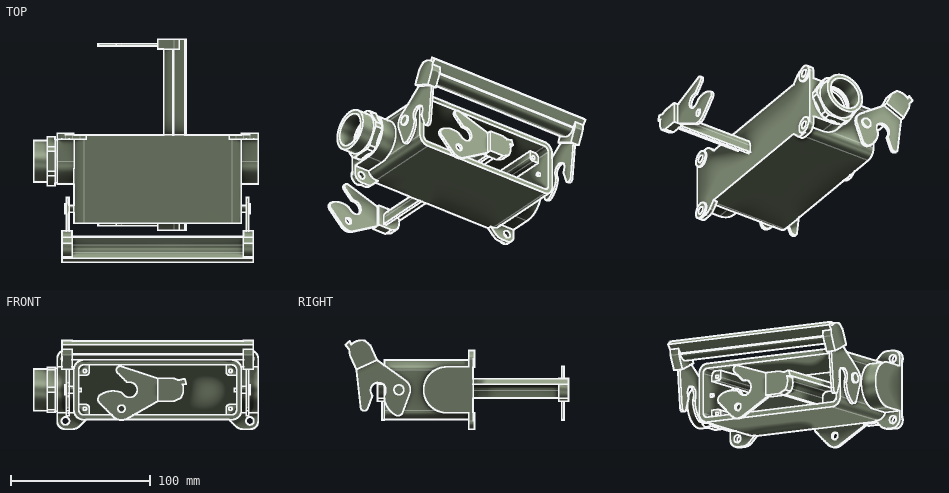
import cadquery as cq
import math


housing_width = 119.7
housing_height = 42.7
housing_depth = 63.2
corner_radius = 6.9
wall = 3.5
back_wall = 3.5

post_size = 7.4
post_corner_radius = 2.4
post_front_depth = 51.7
post_hole_diameter = 2.4
post_hole_depth = 8.0
post_hole_x = 52.0
post_hole_z = 13.5

boss_end_x = 71.9
boss_radius = 16.4
boss_axis_depth = 19.0
cable_hole_diameter = 21.8

ear_thickness = 3.2
ear_hole_diameter = 5.5
ear_pad_diameter = 12.0
ear_pad_height = 1.1
ear_fillet = 7.9
ear_top_z = 28.2
ear_slope_end_x = 51.0

lever_half_span = 68.4
plate_middle = 64.2
plate_thickness = 2.0
grip_block_width = 7.2
grip_half_height = 8.2
pivot_u = -25.8
pivot_v = -13.5
pivot_hole_diameter = 5.1

pin_depth = 53.0
pin_diameter = 5.0
pin_head_diameter = 7.0
pin_head_thickness = 1.1
pin_tail_diameter = 2.4
pin_tail_length = 1.8

closed_lever_angle = 65.5

gland_end_x = 88.6
pipe_diameter = 30.0
nut_outer_x = 79.0
nut_inner_x = 73.3
nut_across_flats = 32.1
nut_corner_diameter = 35.1
neck_diameter = 31.0
gland_bore_steps = ((24.2, 12.8), (23.5, 14.5), (21.8, gland_end_x - boss_end_x))

half_width = housing_width / 2
half_height = housing_height / 2
cavity_half_width = half_width - wall
cavity_half_height = half_height - wall
SIDES = (-1, 1)


def block(x_range, y_range, z_range):
    """Box between the given limits."""
    size = [high - low for low, high in (x_range, y_range, z_range)]
    return cq.Workplane("XY").box(*size, centered=False).translate((x_range[0], y_range[0], z_range[0]))


def x_cylinder(diameter, x_start, x_end, depth):
    """Cylinder along X whose axis lies at the given depth from the back face, at mid height."""
    low, high = sorted((x_start, x_end))
    plane = cq.Plane(origin=(low, -depth, 0), xDir=(0, 1, 0), normal=(1, 0, 0))
    return cq.Workplane(plane).circle(diameter / 2).extrude(high - low)


def y_cylinder(diameter, x, z, y_front, y_back):
    """Cylinder along Y between two Y positions."""
    plane = cq.Plane(origin=(x, y_back, z), xDir=(1, 0, 0), normal=(0, -1, 0))
    return cq.Workplane(plane).circle(diameter / 2).extrude(y_back - y_front)


def lever_plate_outline(work):
    """Hooked side plate: a pivot corner, a short jaw, a round slot and a long jaw."""
    pivot_radius = grip_half_height
    diagonal = math.sqrt(0.5)

    reach_u = -pivot_u
    reach_v = -grip_half_height - pivot_v
    reach = math.hypot(reach_u, reach_v)
    tangent_angle = math.atan2(reach_v, reach_u) - math.acos(pivot_radius / reach)
    corner_start = (
        pivot_u + pivot_radius * math.cos(tangent_angle),
        pivot_v + pivot_radius * math.sin(tangent_angle),
    )
    corner_end = (pivot_u - pivot_radius * diagonal, pivot_v - pivot_radius * diagonal)

    short_tip_u = -42.2
    short_tip_start = (short_tip_u, corner_end[1] + corner_end[0] - short_tip_u)
    short_tip_middle = (-42.7, -6.5)
    short_tip_end = (-41.5, -4.0)
    jaw_arc_middle = (-32.5, -0.8)
    jaw_arc_end = (-25.8, -2.0)

    slot_u = -20.0
    slot_radius = 5.5
    slot_start = (slot_u - slot_radius * diagonal, -slot_radius * diagonal)

    long_tip_u = -26.8
    long_tip_v = 14.1
    long_tip_radius = 2.7
    long_tip_start = (long_tip_u - long_tip_radius * diagonal, long_tip_v - long_tip_radius * diagonal)
    slot_mouth_u = long_tip_start[0] + long_tip_start[1] - slot_radius
    drop = grip_half_height - long_tip_v
    upper_reach = math.hypot(long_tip_u, drop)
    upper_angle = math.atan2(drop, -long_tip_u) + math.acos(long_tip_radius / upper_reach)
    long_tip_end = (
        long_tip_u + long_tip_radius * math.cos(upper_angle),
        long_tip_v + long_tip_radius * math.sin(upper_angle),
    )
    long_tip_middle = (long_tip_u - long_tip_radius * diagonal, long_tip_v + long_tip_radius * diagonal)

    return (
        work.moveTo(0, -grip_half_height)
        .lineTo(*corner_start)
        .threePointArc((pivot_u, pivot_v - pivot_radius), corner_end)
        .lineTo(*short_tip_start)
        .threePointArc(short_tip_middle, short_tip_end)
        .threePointArc(jaw_arc_middle, jaw_arc_end)
        .lineTo(*slot_start)
        .threePointArc((slot_u + slot_radius, 0), (slot_u, slot_radius))
        .lineTo(slot_mouth_u, slot_radius)
        .lineTo(*long_tip_start)
        .threePointArc(long_tip_middle, long_tip_end)
        .lineTo(0, grip_half_height)
        .close()
    )


def grip_block_outline(work):
    """End of the grip: square at the plate, with sloped shoulders and a bulged far end."""
    shoulder_u = 11.4
    lower_shoulder_end = (16.4, -6.0)
    far_end_middle = (18.3, -1.3)
    far_end_top = (17.8, 4.0)
    upper_shoulder_end = (15.4, 6.9)
    return (
        work.moveTo(0, -grip_half_height)
        .lineTo(shoulder_u, -grip_half_height)
        .lineTo(*lower_shoulder_end)
        .threePointArc(far_end_middle, far_end_top)
        .lineTo(*upper_shoulder_end)
        .lineTo(shoulder_u, grip_half_height)
        .lineTo(0, grip_half_height)
        .close()
    )


def grip_bar_outline(work):
    """Bent grip bar: a short leg, a quarter bend and a flange thickening to its slanted edge."""
    bend_u = 10.8
    bend_v = -0.2
    outer_radius = 6.5
    inner_radius = 4.2
    leg_end_v = -6.0
    flange_tip_u = 20.5
    flange_top_tip = (19.3, 8.0)
    flange_top_start = (11.4, 6.0)
    diagonal = math.sqrt(0.5)
    flange_v = bend_v + inner_radius
    bend_top_v = bend_v + outer_radius
    return (
        work.moveTo(bend_u - outer_radius, leg_end_v)
        .lineTo(bend_u - inner_radius, leg_end_v)
        .lineTo(bend_u - inner_radius, bend_v)
        .threePointArc(
            (bend_u - inner_radius * diagonal, bend_v + inner_radius * diagonal),
            (bend_u, flange_v),
        )
        .lineTo(flange_tip_u, flange_v)
        .lineTo(*flange_top_tip)
        .lineTo(*flange_top_start)
        .lineTo(bend_u, bend_top_v)
        .threePointArc(
            (bend_u - outer_radius * diagonal, bend_v + outer_radius * diagonal),
            (bend_u - outer_radius, bend_v),
        )
        .close()
    )


def lever_slice(plane, outline, middle, width):
    """One outline extruded to the given width about a middle position along the lever's length."""
    return outline(cq.Workplane(plane).workplane(offset=middle - width / 2)).extrude(width)


def build_lever(plane):
    """Lever lying in the given plane, its length along the plane's normal."""
    lever = lever_slice(plane, grip_bar_outline, 0, 2 * lever_half_span)
    for side in SIDES:
        block_middle = side * (lever_half_span - grip_block_width / 2)
        lever = lever.union(lever_slice(plane, grip_block_outline, block_middle, grip_block_width))
        lever = lever.union(lever_slice(plane, lever_plate_outline, side * plate_middle, plate_thickness))
    pivot_hole = (
        cq.Workplane(plane).center(pivot_u, pivot_v).circle(pivot_hole_diameter / 2)
        .extrude(lever_half_span, both=True)
    )
    return lever.cut(pivot_hole)


def closed_lever_plane():
    """Plane of the lever that hangs on the pivot pins, tilted up over the housing's mouth."""
    angle = math.radians(closed_lever_angle)
    grip_y, grip_z = -math.cos(angle), math.sin(angle)
    height_y, height_z = -grip_z, grip_y
    origin_y = -pin_depth - pivot_u * grip_y - pivot_v * height_y
    origin_z = -pivot_u * grip_z - pivot_v * height_z
    return cq.Plane(origin=(0, origin_y, origin_z), xDir=(0, grip_y, grip_z), normal=(1, 0, 0))


through_lever_plane = cq.Plane(origin=(0, 0, 0), xDir=(1, 0, 0), normal=(0, -1, 0))


def housing_shell():
    outside = block((-half_width, half_width), (-housing_depth, 0), (-half_height, half_height))
    outside = outside.edges("|Y").fillet(corner_radius)
    for side in SIDES:
        outside = outside.union(side_boss(side))
    cavity = block(
        (-cavity_half_width, cavity_half_width),
        (-housing_depth, -back_wall),
        (-cavity_half_height, cavity_half_height),
    )
    return outside.cut(cavity.edges("|Y").fillet(corner_radius - wall))


def side_boss(side):
    """Round-fronted boss running back to the back face."""
    x_range = sorted((side * (half_width - wall), side * boss_end_x))
    straight = block(x_range, (-boss_axis_depth, 0), (-boss_radius, boss_radius))
    return straight.union(x_cylinder(2 * boss_radius, x_range[0], x_range[1], boss_axis_depth))


def corner_post(side_x, side_z):
    """Square post in a cavity corner, rounded at its free corner and at the wall corner."""
    x_range = sorted((side_x * (cavity_half_width - post_size), side_x * cavity_half_width))
    z_range = sorted((side_z * (cavity_half_height - post_size), side_z * cavity_half_height))
    x_side = ">X" if side_x > 0 else "<X"
    z_side = ">Z" if side_z > 0 else "<Z"
    free_x = "<X" if side_x > 0 else ">X"
    free_z = "<Z" if side_z > 0 else ">Z"
    post = block(x_range, (-post_front_depth, -back_wall), z_range)
    post = post.edges(f"|Y and {free_x} and {free_z}").fillet(post_corner_radius)
    post = post.edges(f"|Y and {x_side} and {z_side}").fillet(corner_radius - wall)
    hole = y_cylinder(
        post_hole_diameter,
        side_x * post_hole_x,
        side_z * post_hole_z,
        -post_front_depth,
        post_hole_depth - post_front_depth,
    )
    return post.cut(hole)


def mounting_ear(side_x, side_z):
    """Ear with a sloped inner edge, an arc about its screw hole and a raised pad on its back."""
    arc_radius = ear_pad_diameter / 2
    hole_x = boss_end_x - arc_radius
    hole_z = ear_top_z - arc_radius
    slope_top_x = ear_slope_end_x + ear_top_z - half_height
    wall_middle_x = half_width - wall / 2
    diagonal = math.sqrt(0.5)
    plane = cq.Plane(origin=(0, 0, 0), xDir=(1, 0, 0), normal=(0, -1, 0))
    ear = (
        cq.Workplane(plane)
        .moveTo(boss_end_x, 0)
        .lineTo(boss_end_x, hole_z)
        .threePointArc((hole_x + arc_radius * diagonal, hole_z + arc_radius * diagonal), (hole_x, ear_top_z))
        .lineTo(slope_top_x, ear_top_z)
        .lineTo(ear_slope_end_x, half_height)
        .lineTo(ear_slope_end_x, half_height - wall)
        .lineTo(wall_middle_x, half_height - corner_radius)
        .lineTo(wall_middle_x, 0)
        .close()
        .extrude(ear_thickness)
    )
    slope_top = cq.selectors.NearestToPointSelector((slope_top_x, -ear_thickness / 2, ear_top_z))
    ear = ear.edges(slope_top).fillet(ear_fillet)
    ear = ear.union(y_cylinder(ear_pad_diameter, hole_x, hole_z, -ear_thickness, ear_pad_height))
    ear = ear.cut(y_cylinder(ear_hole_diameter, hole_x, hole_z, -ear_thickness, ear_pad_height))
    if side_x < 0:
        ear = ear.mirror("YZ")
    if side_z < 0:
        ear = ear.mirror("XY")
    return ear


def pivot_pin(side):
    """Pin with a head that keeps the lever plate on, and a thin tail inside the cavity."""
    head_start = plate_middle + plate_thickness / 2
    shaft = x_cylinder(pin_diameter, side * (half_width - wall), side * head_start, pin_depth)
    head_end = head_start + pin_head_thickness
    head = x_cylinder(pin_head_diameter, side * head_start, side * head_end, pin_depth)
    tail_start = cavity_half_width - pin_tail_length
    tail = x_cylinder(pin_tail_diameter, side * tail_start, side * half_width, pin_depth)
    return shaft.union(head).union(tail)


def build_housing():
    housing = housing_shell()
    for side_x in SIDES:
        housing = housing.union(pivot_pin(side_x))
        for side_z in SIDES:
            housing = housing.union(corner_post(side_x, side_z))
            housing = housing.union(mounting_ear(side_x, side_z))
    cable_hole = x_cylinder(cable_hole_diameter, -boss_end_x, -cavity_half_width, boss_axis_depth)
    bar_opening = lever_slice(through_lever_plane, grip_bar_outline, 0, 2 * lever_half_span)
    return housing.cut(cable_hole).cut(bar_opening)


def build_gland():
    nut_plane = cq.Plane(origin=(-nut_outer_x, -boss_axis_depth, 0), xDir=(0, 1, 0), normal=(1, 0, 0))
    corner_distance = nut_across_flats / math.cos(math.pi / 6)
    nut = cq.Workplane(nut_plane).polygon(6, corner_distance).extrude(nut_outer_x - nut_inner_x)
    nut = nut.intersect(x_cylinder(nut_corner_diameter, -nut_outer_x, -nut_inner_x, boss_axis_depth))
    pipe = x_cylinder(pipe_diameter, -gland_end_x, -nut_outer_x, boss_axis_depth)
    neck = x_cylinder(neck_diameter, -nut_inner_x, -boss_end_x, boss_axis_depth)
    gland = nut.union(pipe).union(neck)
    for diameter, depth in gland_bore_steps:
        gland = gland.cut(x_cylinder(diameter, -gland_end_x, depth - gland_end_x, boss_axis_depth))
    return gland


housing = build_housing()
gland = build_gland()
levers = [build_lever(plane) for plane in (closed_lever_plane(), through_lever_plane)]

result = cq.Compound.makeCompound([housing.val(), gland.val(), *[lever.val() for lever in levers]])